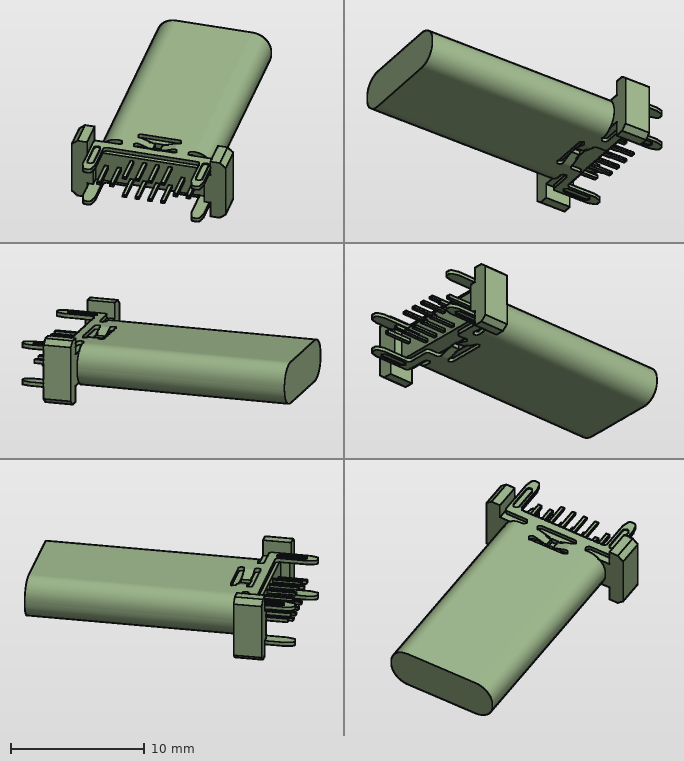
import cadquery as cq


total_length = 20.7
shell_width = 8.9
shell_height = 3.23
shell_side_radius = 1.5
shell_rear_y = 4.35
sheet_thickness = 0.31
shell_top_z = shell_height / 2
sheet_inner_z = shell_top_z - sheet_thickness

plate_rear_y = 3.15
plate_front_y = 3.83
neck_half_width = 2.59
relief_width = shell_rear_y - plate_front_y
bend_radius = 0.25
leg_width = 0.95
leg_center_x = 4.22
leg_outer_x = leg_center_x + leg_width / 2
leg_inner_x = leg_center_x - leg_width / 2
leg_taper_y = 0.68
leg_tip_width = 0.58
leg_tip_radius = 0.25
leg_groove_width = 0.5
leg_groove_rear_y = 0.83
leg_groove_front_y = plate_rear_y
leg_groove_depth = 0.1

base_half_height = 1.25
base_half_width = 4.33
base_rear_y = 2.9
block_rear_y = 2.2
block_half_height = 2.5
block_outer_x = 6.0
block_inner_x = 4.8
block_chamfer_x = 0.45
block_chamfer_z = 0.4

slot_half_length = 1.68
slot_width = 0.45
rear_slot_y = plate_front_y + slot_width / 2
tab_width = 0.79
front_slot_y = rear_slot_y + slot_width + tab_width
tab_root_x = 1.43
tab_bend_x = 1.28
tab_bend_depth = 0.05
tab_tip_x = 0.3
tab_tip_depth = 0.37
tip_gap_depth = 0.75

pin_pitch = 1.0
pin_width = 0.27
pin_tip_y = 0.68
pin_tip_chamfer = 0.06
outer_row_z = 0.83
outer_pin_height = 0.2
middle_pin_height = 0.3
outer_row_steps = (-1.5, -0.5, 0.5, 1.5)
middle_row_steps = (-3.5, -2.5, 2.5, 3.5)


def box(x_range, y_range, z_range):
    """Axis-aligned box between the given limits."""
    sizes = [high - low for low, high in (x_range, y_range, z_range)]
    corner = (x_range[0], y_range[0], z_range[0])
    return cq.Workplane("XY").box(*sizes, centered=False).translate(corner)


def make_shell():
    """Stadium-like body of the plug."""
    length = total_length - shell_rear_y
    body = cq.Workplane("XZ", origin=(0, shell_rear_y, 0)).rect(shell_width, shell_height)
    return body.extrude(-length).edges("|Y").fillet(shell_side_radius)


def make_base():
    """Plastic core with a chamfered T-shaped block at each end."""
    y_range = (base_rear_y, shell_rear_y)
    z_range = (-base_half_height, base_half_height)
    base = box((-base_half_width, base_half_width), y_range, z_range)
    upper_outline = [
        (base_half_width, base_half_height),
        (block_inner_x, base_half_height),
        (block_inner_x, block_half_height),
        (block_outer_x - block_chamfer_x, block_half_height),
        (block_outer_x, block_half_height - block_chamfer_z),
    ]
    lower_outline = [(x, -z) for x, z in reversed(upper_outline)]
    block = (
        cq.Workplane("XZ", origin=(0, block_rear_y, 0))
        .polyline(upper_outline + lower_outline)
        .close()
        .extrude(block_rear_y - shell_rear_y)
    )
    return base.union(block).union(block.mirror("YZ"))


def make_leg():
    """Tapered +X leg of the upper sheet with a rounded tip."""
    half_tip = leg_tip_width / 2
    leg = (
        cq.Workplane("XY", origin=(0, 0, sheet_inner_z))
        .moveTo(leg_inner_x, plate_front_y)
        .lineTo(leg_inner_x, leg_taper_y)
        .lineTo(leg_center_x - half_tip, 0)
        .lineTo(leg_center_x + half_tip, 0)
        .lineTo(leg_outer_x, leg_taper_y)
        .lineTo(leg_outer_x, plate_front_y)
        .close()
        .extrude(sheet_thickness)
    )
    return leg.edges("|Z and <Y").fillet(leg_tip_radius)


def cut_groove(sheet, center_x):
    """Cut the shallow round-ended groove into the outer face of one leg."""
    center_y = (leg_groove_rear_y + leg_groove_front_y) / 2
    length = leg_groove_front_y - leg_groove_rear_y
    groove = (
        cq.Workplane("XY", origin=(center_x, center_y, shell_top_z))
        .slot2D(length, leg_groove_width, 90)
        .extrude(-leg_groove_depth)
    )
    return sheet.cut(groove)


def make_sheet():
    """Upper sheet: rear plate, neck into the shell and both legs."""
    z_range = (sheet_inner_z, shell_top_z)
    plate = box((-leg_outer_x, leg_outer_x), (plate_rear_y, plate_front_y), z_range)
    leg = make_leg()
    sheet = plate.union(leg).union(leg.mirror("YZ")).clean()
    for side in (-1, 1):
        outer_corner = cq.NearestToPointSelector((side * leg_outer_x, plate_front_y, shell_top_z))
        inner_corner = cq.NearestToPointSelector((side * leg_inner_x, plate_rear_y, shell_top_z))
        sheet = sheet.edges("|Z").edges(outer_corner).fillet(bend_radius)
        sheet = sheet.edges("|Z").edges(inner_corner).fillet(bend_radius)
        sheet = cut_groove(sheet, side * leg_center_x)
    neck_reach = neck_half_width + relief_width / 2
    neck = box((-neck_reach, neck_reach), (plate_front_y, shell_rear_y), z_range)
    relief_ends = (
        cq.Workplane("XY", origin=(0, plate_front_y + relief_width / 2, sheet_inner_z))
        .pushPoints([(-neck_reach, 0), (neck_reach, 0)])
        .circle(relief_width / 2)
        .extrude(sheet_thickness)
    )
    return sheet.union(neck.cut(relief_ends))


def make_latch_cut():
    """Slots through the upper sheet, the slopes of both tabs and the deep gap between their tips."""
    slots = (
        cq.Workplane("XY", origin=(0, 0, sheet_inner_z))
        .pushPoints([(0, rear_slot_y), (0, front_slot_y)])
        .slot2D(2 * slot_half_length, slot_width)
        .extrude(sheet_thickness)
    )
    right_profile = [
        (tab_tip_x, shell_top_z - tip_gap_depth),
        (tab_tip_x, shell_top_z - tab_tip_depth),
        (tab_bend_x, shell_top_z - tab_bend_depth),
        (tab_root_x, shell_top_z),
    ]
    left_profile = [(-x, z) for x, z in reversed(right_profile)]
    tab_rear_y = rear_slot_y + slot_width / 2
    dent = (
        cq.Workplane("XZ", origin=(0, tab_rear_y, 0))
        .polyline(right_profile + left_profile)
        .close()
        .extrude(-tab_width)
    )
    return slots.union(dent)


def make_mouth():
    """Opening from the rear slot to the sheet's rear edge, flared by round corners."""
    mouth_edge = slot_half_length + bend_radius
    return (
        cq.Workplane("XY", origin=(0, 0, sheet_inner_z))
        .moveTo(-mouth_edge, plate_rear_y)
        .radiusArc((-slot_half_length, plate_rear_y + bend_radius), -bend_radius)
        .lineTo(-slot_half_length, rear_slot_y)
        .lineTo(slot_half_length, rear_slot_y)
        .lineTo(slot_half_length, plate_rear_y + bend_radius)
        .radiusArc((mouth_edge, plate_rear_y), -bend_radius)
        .close()
        .extrude(sheet_thickness)
    )


def make_pin_row(steps, z, height):
    """Row of rectangular pins with tips chamfered above and below, rooted in the base."""
    pin_length = shell_rear_y - pin_tip_y
    pin = (
        cq.Workplane("XZ", origin=(0, pin_tip_y, z))
        .rect(pin_width, height)
        .extrude(-pin_length)
        .faces("<Y")
        .edges("|X")
        .chamfer(pin_tip_chamfer)
    )
    row = cq.Workplane("XY")
    for step in steps:
        row = row.union(pin.translate((step * pin_pitch, 0, 0)))
    return row


upper_sheet = make_sheet()
upper_latch = make_latch_cut()
lower_sheet = upper_sheet.cut(make_mouth()).mirror("XY")

result = make_shell().union(make_base()).union(upper_sheet).union(lower_sheet)
result = result.cut(upper_latch).cut(upper_latch.mirror("XY"))
result = result.union(make_pin_row(outer_row_steps, outer_row_z, outer_pin_height))
result = result.union(make_pin_row(outer_row_steps, -outer_row_z, outer_pin_height))
result = result.union(make_pin_row(middle_row_steps, 0, middle_pin_height))